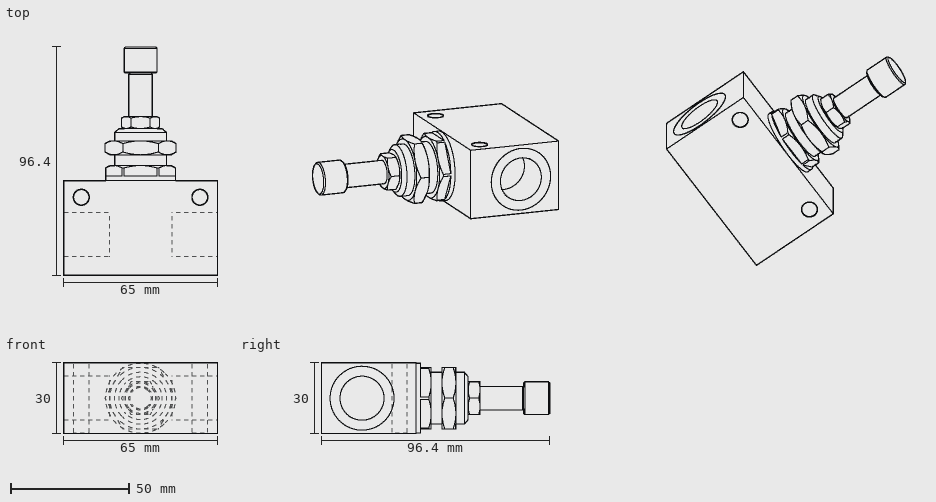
import cadquery as cq
import math


overall_length = 96.4

body_width = 65.0
body_length = 40.0
body_height = 30.0

mount_hole_diameter = 6.5
mount_hole_chamfer = 0.2
mount_hole_spacing = 50.0
mount_hole_setback = 7.0

port_setback = 22.8
port_diameter = 18.6
port_depth = 19.3
spotface_diameter = 27
spotface_depth = 0.1

flange_top = 1.9
collar_top = 6.4
nut_bottom = 10.9
nut_top = 16.8
thread_top = 22.0
locknut_top = 27
stem_top = 45.3
knob_top = overall_length - body_length

flange_diameter = 29.5
thread_diameter = 22.0
thread_chamfer_length = 1.6
thread_chamfer_depth = 1.9
stem_diameter = 10.0
stem_chamfer = 0.5
knob_diameter = 14.0
knob_chamfer = 0.6

nut_flats = 26
locknut_flats = 14.0
hex_half_sector = math.radians(30)
hex_chamfer_angle = math.radians(30)


def cylinder(diameter, start, end):
    """Cylinder about the Y axis between two positions."""
    start_plane = cq.Workplane("XZ", origin=(0, start, 0))
    return start_plane.circle(diameter / 2).extrude(start - end)


def hexagon(across_flats, start, end, bevel_start=True):
    """Hexagonal prism about the Y axis with flats facing +Z and -Z and bevelled corners."""
    flat_radius = across_flats / 2
    corner_radius = flat_radius / math.cos(hex_half_sector)
    bevel = (corner_radius - flat_radius) * math.tan(hex_chamfer_angle)
    prism = (
        cq.Workplane("XZ", origin=(0, start, 0))
        .polygon(6, 2 * corner_radius)
        .extrude(start - end)
    )
    profile = cq.Workplane("XY").moveTo(0, start)
    if bevel_start:
        profile = profile.lineTo(flat_radius, start).lineTo(corner_radius, start + bevel)
    else:
        profile = profile.lineTo(corner_radius, start)
    envelope = (
        profile.lineTo(corner_radius, end - bevel)
        .lineTo(flat_radius, end)
        .lineTo(0, end)
        .close()
        .revolve(360, (0, 0, 0), (0, 1, 0))
    )
    return prism.intersect(envelope)


def mount_hole_cutter(x):
    """Through hole along Z with a small chamfer at both mouths."""
    bore_radius = mount_hole_diameter / 2
    mouth_radius = bore_radius + mount_hole_chamfer
    half_height = body_height / 2
    bore_end = half_height - mount_hole_chamfer
    return (
        cq.Workplane("XZ", origin=(x, -mount_hole_setback, 0))
        .moveTo(0, -half_height)
        .lineTo(mouth_radius, -half_height)
        .lineTo(bore_radius, -bore_end)
        .lineTo(bore_radius, bore_end)
        .lineTo(mouth_radius, half_height)
        .lineTo(0, half_height)
        .close()
        .revolve(360, (0, 0, 0), (0, 1, 0))
    )


def make_body():
    body = cq.Workplane("XY").box(body_width, body_length, body_height)
    body = body.translate((0, -body_length / 2, 0))
    for side in (-1, 1):
        body = body.cut(mount_hole_cutter(side * mount_hole_spacing / 2))
        port_face = cq.Workplane("YZ", origin=(side * body_width / 2, -port_setback, 0))
        bore = port_face.circle(port_diameter / 2).extrude(-side * port_depth)
        spotface = port_face.circle(spotface_diameter / 2).extrude(-side * spotface_depth)
        body = body.cut(bore).cut(spotface)
    return body


def make_screw():
    flange = cylinder(flange_diameter, 0, flange_top)
    collar = hexagon(nut_flats, flange_top, collar_top, bevel_start=False)
    collar = collar.intersect(cylinder(flange_diameter, flange_top, collar_top))
    thread = cylinder(thread_diameter, 0, thread_top)
    thread = thread.faces(">Y").chamfer(thread_chamfer_length, thread_chamfer_depth)
    nut = hexagon(nut_flats, nut_bottom, nut_top)
    locknut = hexagon(locknut_flats, thread_top, locknut_top)
    stem = cylinder(stem_diameter, 0, stem_top).faces(">Y").chamfer(stem_chamfer)
    knob = cylinder(knob_diameter, stem_top, knob_top).faces("<Y or >Y").chamfer(knob_chamfer)
    screw = flange
    for section in (collar, thread, nut, locknut, stem, knob):
        screw = screw.union(section)
    return screw


result = make_body().union(make_screw())